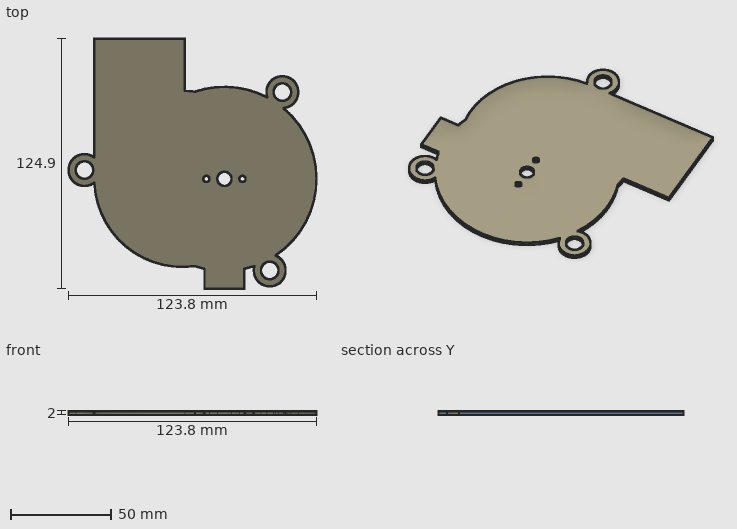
import cadquery as cq

THICKNESS = 2.0

MAIN_RADIUS = 46.0
SIDE_RADIUS = 44.0
SIDE_OFFSET = 21.0
DUCT_LEFT = -(SIDE_OFFSET + SIDE_RADIUS)
DUCT_WIDTH = 45.2
DUCT_END = 70.0
OVERALL_LENGTH = 124.9
TAB_WIDTH = 20.0
TAB_END = DUCT_END - OVERALL_LENGTH

OVERALL_WIDTH = 123.84
LUG_RADIUS = 8.0
LUG_HOLE_DIAMETER = 8.66
LEFT_LUG_X = MAIN_RADIUS - OVERALL_WIDTH + LUG_RADIUS
LUG_CENTRES = [
    (LEFT_LUG_X, 4.4),
    (28.9, 43.3),
    (22.6, -45.7),
]

SHAFT_HOLE_DIAMETER = 7.0
SCREW_HOLE_DIAMETER = 3.0
SCREW_SPACING = 18.0


def discs(centres, radius):
    """Full-thickness discs at the given centres."""
    return cq.Workplane("XY").pushPoints(centres).circle(radius).extrude(THICKNESS)


def slab(left, width, end):
    """Full-thickness rectangle running along Y from the X axis to `end`."""
    return (
        cq.Workplane("XY")
        .moveTo(left, 0)
        .lineTo(left + width, 0)
        .lineTo(left + width, end)
        .lineTo(left, end)
        .close()
        .extrude(THICKNESS)
    )


def make_body():
    """Volute plate with its discharge duct and tab."""
    main_disc = discs([(0, 0)], MAIN_RADIUS)
    side_disc = discs([(-SIDE_OFFSET, 0)], SIDE_RADIUS)
    duct = slab(DUCT_LEFT, DUCT_WIDTH, DUCT_END)
    tab = slab(-TAB_WIDTH / 2, TAB_WIDTH, TAB_END)
    return main_disc.union(side_disc).union(duct).union(tab)


def make_holes():
    """Cutters for the lug, shaft and screw holes."""
    screw_centres = [(-SCREW_SPACING / 2, 0), (SCREW_SPACING / 2, 0)]
    lug_holes = discs(LUG_CENTRES, LUG_HOLE_DIAMETER / 2)
    shaft_hole = discs([(0, 0)], SHAFT_HOLE_DIAMETER / 2)
    screw_holes = discs(screw_centres, SCREW_HOLE_DIAMETER / 2)
    return [lug_holes, shaft_hole, screw_holes]


result = make_body().union(discs(LUG_CENTRES, LUG_RADIUS))
for hole in make_holes():
    result = result.cut(hole)